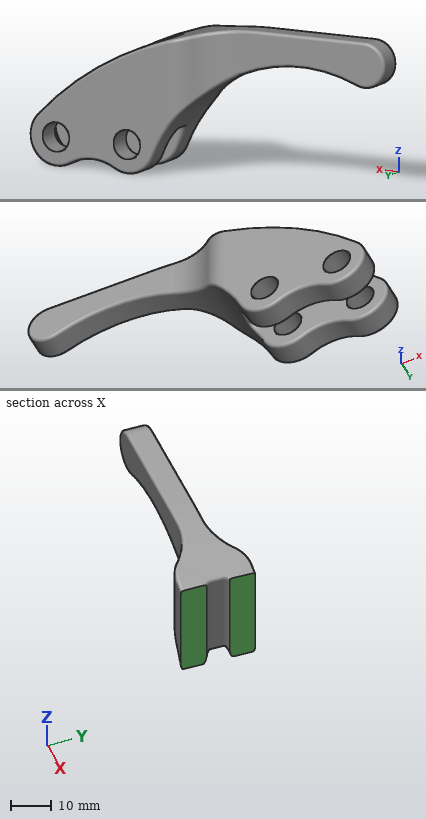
import cadquery as cq
import math

WIDTH = 19.97
HEIGHT = 38.28
LENGTH = 96.53
LUG_RADIUS = 7.5
PIVOT_SPACING = 20.0
PIVOT_DIAMETER = 7.5
TIP_RADIUS = 5.8
BACK_RADIUS = 82.5
GRIP_RADIUS = 41.5
NOTCH_RADIUS = 12.5
FLARE_START_X = -28.2
FLARE_CONCAVE_RADIUS = 16.5
FLARE_CONVEX_RADIUS = 8.2
SLOT_END_X = -9.05
EDGE_FILLET = 0.83

HANDLE_WIDTH = WIDTH / 3
SLOT_WIDTH = WIDTH / 3
SLOT_CORNER_RADIUS = SLOT_WIDTH / 4
TOP_Z = HEIGHT - LUG_RADIUS
RIGHT_X = PIVOT_SPACING + LUG_RADIUS
LEFT_X = RIGHT_X - LENGTH

INNER_LUG = (0.0, 0.0)
OUTER_LUG = (PIVOT_SPACING, 0.0)
TIP = (LEFT_X + TIP_RADIUS, TOP_Z - TIP_RADIUS)


def toward(start, end, distance):
    """Point at the given distance from start on the line through start and end."""
    fraction = distance / math.dist(start, end)
    return (
        start[0] + fraction * (end[0] - start[0]),
        start[1] + fraction * (end[1] - start[1]),
    )


def arc_middle(center, radius, start, end):
    """Middle point of the shorter arc between two points of a circle."""
    chord_middle = ((start[0] + end[0]) / 2, (start[1] + end[1]) / 2)
    return toward(center, chord_middle, radius)


def center_below(left, left_distance, right, right_distance):
    """Point at given distances from two points, on the lower side of the line joining them."""
    span = math.dist(left, right)
    along = (left_distance**2 - right_distance**2 + span**2) / (2 * span)
    drop = math.sqrt(left_distance**2 - along**2)
    direction = ((right[0] - left[0]) / span, (right[1] - left[1]) / span)
    return (
        left[0] + along * direction[0] + drop * direction[1],
        left[1] + along * direction[1] - drop * direction[0],
    )


def side_profile():
    """Lever outline in XZ, a chain of tangent arcs with one flat on top, through the full width."""
    back_z = TOP_Z - BACK_RADIUS
    back_x = PIVOT_SPACING - math.sqrt((BACK_RADIUS - LUG_RADIUS) ** 2 - back_z**2)
    back = (back_x, back_z)
    grip = center_below(TIP, GRIP_RADIUS + TIP_RADIUS, INNER_LUG, GRIP_RADIUS + LUG_RADIUS)
    notch_reach = NOTCH_RADIUS + LUG_RADIUS
    notch = center_below(INNER_LUG, notch_reach, OUTER_LUG, notch_reach)

    tip_top = (TIP[0], TOP_Z)
    back_start = (back_x, TOP_Z)
    back_end = toward(back, OUTER_LUG, BACK_RADIUS)
    notch_right = toward(notch, OUTER_LUG, NOTCH_RADIUS)
    notch_left = toward(notch, INNER_LUG, NOTCH_RADIUS)
    grip_right = toward(grip, INNER_LUG, GRIP_RADIUS)
    grip_left = toward(grip, TIP, GRIP_RADIUS)

    return (
        cq.Workplane("XZ")
        .moveTo(*tip_top)
        .lineTo(*back_start)
        .threePointArc(arc_middle(back, BACK_RADIUS, back_start, back_end), back_end)
        .threePointArc((RIGHT_X, 0), notch_right)
        .threePointArc(arc_middle(notch, NOTCH_RADIUS, notch_right, notch_left), notch_left)
        .threePointArc(arc_middle(INNER_LUG, LUG_RADIUS, notch_left, grip_right), grip_right)
        .threePointArc(arc_middle(grip, GRIP_RADIUS, grip_right, grip_left), grip_left)
        .threePointArc((LEFT_X, TIP[1]), tip_top)
        .close()
        .extrude(WIDTH / 2, both=True)
    )


def plan_shape():
    """Narrow handle that widens through a tangent S-curve on each side into the fork, in XY."""
    half_handle = HANDLE_WIDTH / 2
    half_fork = WIDTH / 2
    radius_sum = FLARE_CONCAVE_RADIUS + FLARE_CONVEX_RADIUS
    rise = half_fork - half_handle
    flare_end_x = FLARE_START_X + math.sqrt(radius_sum**2 - (radius_sum - rise) ** 2)

    def flare(side):
        """Start, middle, inflection, middle and end points of the S-curve on one side."""
        start = (FLARE_START_X, side * half_handle)
        end = (flare_end_x, side * half_fork)
        concave = (FLARE_START_X, side * (half_handle + FLARE_CONCAVE_RADIUS))
        convex = (flare_end_x, side * (half_fork - FLARE_CONVEX_RADIUS))
        inflection = toward(concave, convex, FLARE_CONCAVE_RADIUS)
        concave_middle = arc_middle(concave, FLARE_CONCAVE_RADIUS, start, inflection)
        convex_middle = arc_middle(convex, FLARE_CONVEX_RADIUS, inflection, end)
        return start, concave_middle, inflection, convex_middle, end

    near = flare(-1)
    far = flare(1)
    return (
        cq.Workplane("XY", origin=(0, 0, -LUG_RADIUS))
        .moveTo(LEFT_X, -half_handle)
        .lineTo(*near[0])
        .threePointArc(near[1], near[2])
        .threePointArc(near[3], near[4])
        .lineTo(RIGHT_X, -half_fork)
        .lineTo(RIGHT_X, half_fork)
        .lineTo(*far[4])
        .threePointArc(far[3], far[2])
        .threePointArc(far[1], far[0])
        .lineTo(LEFT_X, half_handle)
        .close()
        .extrude(HEIGHT)
    )


def fork_slot():
    """Full-height slot between the fork arms, open toward +X, with rounded inner corners."""
    return (
        cq.Workplane("XY", origin=(SLOT_END_X, 0, -LUG_RADIUS))
        .box(RIGHT_X - SLOT_END_X, SLOT_WIDTH, HEIGHT, centered=(False, True, False))
        .edges("|Z and <X")
        .fillet(SLOT_CORNER_RADIUS)
    )


def pivot_holes():
    """Coaxial cross holes through both fork arms."""
    return (
        cq.Workplane("XZ")
        .pushPoints([INNER_LUG, OUTER_LUG])
        .circle(PIVOT_DIAMETER / 2)
        .extrude(WIDTH / 2, both=True)
    )


body = side_profile().intersect(plan_shape()).cut(fork_slot())
body = body.edges("not (|Y or |Z)").fillet(EDGE_FILLET)
result = body.cut(pivot_holes())